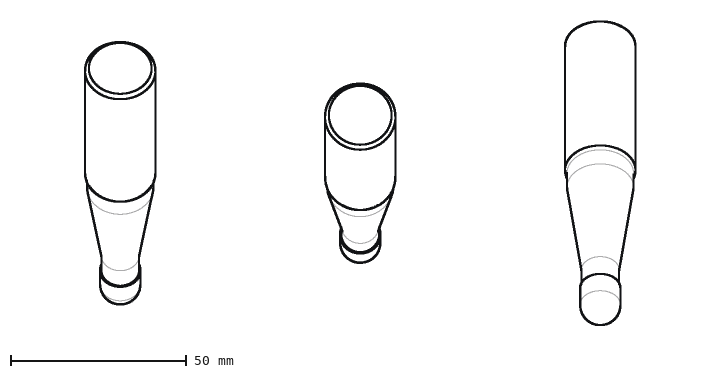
import cadquery as cq
import math

shank_diameter = 20.1
collar_diameter = 19.0
neck_diameter = 10.8
tip_diameter = 11.5

overall_length = 111.0
shank_bottom = 59.9
collar_top = 58.7
taper_top = 53.1
taper_bottom = 19.9
tip_top = 12.5

end_chamfer = 1.1


def make_holder():
    """Revolve the chamfered shank, relief, collar, taper and neck as one body."""
    shank_radius = shank_diameter / 2
    collar_radius = collar_diameter / 2
    neck_radius = neck_diameter / 2

    relief_width = shank_radius - collar_radius
    relief_height = shank_bottom - collar_top
    relief_radius = (relief_height**2 + relief_width**2) / (2 * relief_width)
    half_angle = math.asin(relief_height / relief_radius) / 2
    relief_middle = (
        collar_radius + relief_radius * (1 - math.cos(half_angle)),
        collar_top + relief_radius * math.sin(half_angle),
    )

    profile = (
        cq.Workplane("XZ")
        .moveTo(0, tip_top)
        .lineTo(neck_radius, tip_top)
        .lineTo(neck_radius, taper_bottom)
        .lineTo(collar_radius, taper_top)
        .lineTo(collar_radius, collar_top)
        .threePointArc(relief_middle, (shank_radius, shank_bottom))
        .lineTo(shank_radius, overall_length - end_chamfer)
        .lineTo(shank_radius - end_chamfer, overall_length)
        .lineTo(0, overall_length)
        .close()
    )
    return profile.revolve(360, (0, 0, 0), (0, 1, 0))


def make_ball_tip():
    """Revolve the straight-sided tip with its hemispherical nose."""
    radius = tip_diameter / 2
    arc_middle = radius * math.sqrt(0.5)
    profile = (
        cq.Workplane("XZ")
        .moveTo(0, 0)
        .threePointArc((arc_middle, radius - arc_middle), (radius, radius))
        .lineTo(radius, tip_top)
        .lineTo(0, tip_top)
        .close()
    )
    return profile.revolve(360, (0, 0, 0), (0, 1, 0))


holder = make_holder()
ball_tip = make_ball_tip()

result = cq.Compound.makeCompound([holder.val(), ball_tip.val()])